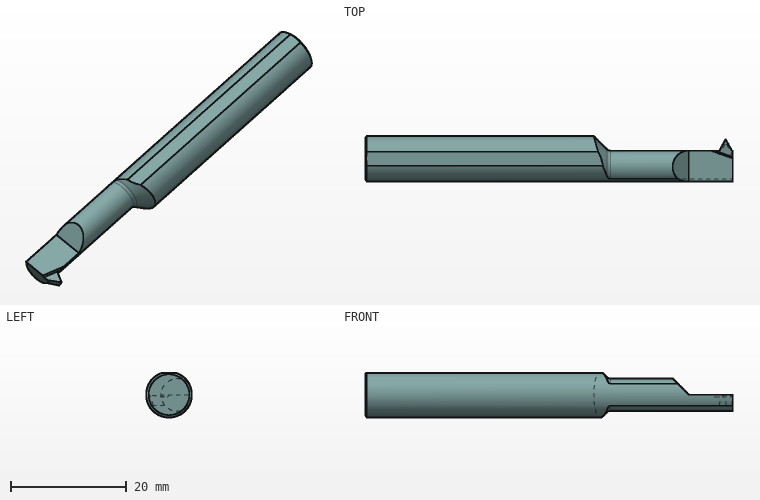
import cadquery as cq
import math

total_length = 63.5
shank_radius = 3.967
flat_height = 3.783
rear_chamfer_length = 0.3
rear_chamfer_depth = 0.45

neck_radius = 2.82
neck_axis_y = -1.4
shoulder_foot_x = 42.0
shoulder_angle = 45.0
shoulder_fillet_radius = 0.8

nose_start_x = 55.92
ramp_angle = 45.0

tooth_tip_x = 62.25
tooth_tip_y = 3.38
tooth_half_angle = 30.0
tooth_root_y = -0.5
tooth_depth = 1.8
tooth_clearance_angle = 10.0

groove_edge_x = 59.65
groove_edge_y = neck_axis_y + neck_radius
groove_angle = 19.5
groove_depth = 0.35
groove_wall_width = 0.22
rake_angle = 8.0
groove_width = 6.0
groove_length = 8.0

clear = 2 * shank_radius


def make_shank():
    profile = [
        (0, 0),
        (0, shank_radius - rear_chamfer_depth),
        (rear_chamfer_length, shank_radius),
        (total_length, shank_radius),
        (total_length, 0),
    ]
    bar = cq.Workplane("XY").polyline(profile).close().revolve(360, (0, 0, 0), (1, 0, 0))
    above_flat = cq.Workplane("XY", origin=(0, 0, flat_height)).box(
        total_length, 2 * clear, clear, centered=(False, True, False)
    )
    return bar.cut(above_flat)


def make_neck_envelope():
    """Solid of revolution about the neck axis that leaves the shoulder cone and the neck."""
    slope = math.radians(shoulder_angle)
    tangent = shoulder_fillet_radius * math.tan(slope / 2)
    cone_end = (
        shoulder_foot_x - tangent * math.cos(slope),
        neck_radius + tangent * math.sin(slope),
    )
    neck_start = (shoulder_foot_x + tangent, neck_radius)
    arc_middle = (
        neck_start[0] - shoulder_fillet_radius * math.sin(slope / 2),
        neck_radius + shoulder_fillet_radius * (1 - math.cos(slope / 2)),
    )
    cone_start_x = shoulder_foot_x - (clear - neck_radius) / math.tan(slope)
    return (
        cq.Workplane("XZ", origin=(0, neck_axis_y, 0))
        .moveTo(0, 0)
        .lineTo(0, clear)
        .lineTo(cone_start_x, clear)
        .lineTo(*cone_end)
        .threePointArc(arc_middle, neck_start)
        .lineTo(total_length, neck_radius)
        .lineTo(total_length, 0)
        .close()
        .revolve(360, (0, 0, 0), (1, 0, 0))
    )


def make_nose_cut():
    ramp_run = clear / math.tan(math.radians(ramp_angle))
    profile = [
        (nose_start_x, 0),
        (total_length, 0),
        (total_length, clear),
        (nose_start_x - ramp_run, clear),
    ]
    return cq.Workplane("XZ").polyline(profile).close().extrude(clear, both=True)


def make_tooth():
    """Sharp point that narrows downwards, trimmed flush with the front end."""
    half_width = (tooth_tip_y - tooth_root_y) * math.tan(math.radians(tooth_half_angle))
    outline = [
        (tooth_tip_x - half_width, tooth_root_y),
        (tooth_tip_x, tooth_tip_y),
        (tooth_tip_x + half_width, tooth_root_y),
    ]
    point = (
        cq.Workplane("XY")
        .polyline(outline)
        .close()
        .extrude(-tooth_depth, taper=tooth_clearance_angle)
    )
    beyond_front = cq.Workplane("YZ", origin=(total_length, 0, 0)).box(
        2 * clear, 2 * clear, clear, centered=(True, True, False)
    )
    return point.cut(beyond_front)


def make_chip_groove():
    """Sloping wall, then a rake face rising towards the tooth tip."""
    rise = (groove_width - groove_wall_width) * math.tan(math.radians(rake_angle))
    profile = [
        (0, 0),
        (groove_wall_width, -groove_depth),
        (groove_width, rise - groove_depth),
        (groove_width, clear),
        (0, clear),
    ]
    groove = cq.Workplane("YZ").polyline(profile).close().extrude(groove_length)
    groove = groove.rotate((0, 0, 0), (0, 0, 1), -groove_angle)
    return groove.translate((groove_edge_x, groove_edge_y, 0))


body = make_shank().intersect(make_neck_envelope()).cut(make_nose_cut())
result = body.union(make_tooth()).cut(make_chip_groove())